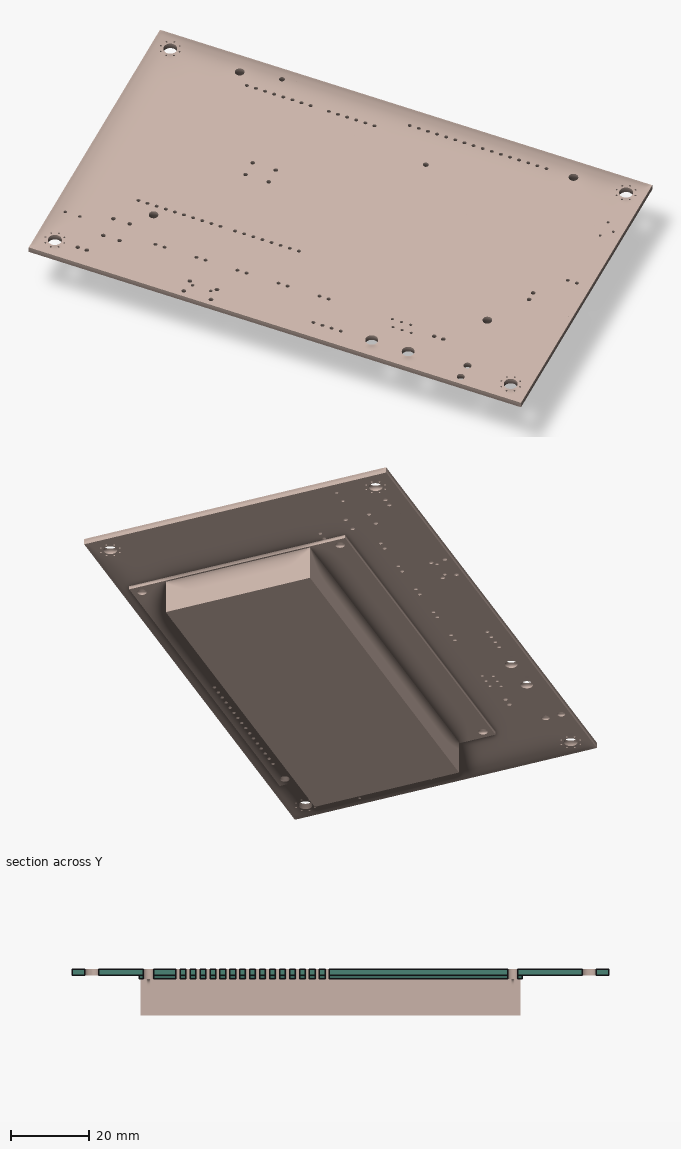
import cadquery as cq
import math

BOARD_LENGTH = 137.2
PITCHES_ALONG = 54
PITCHES_ACROSS = 33
PITCH = BOARD_LENGTH / PITCHES_ALONG
BOARD_WIDTH = PITCHES_ACROSS * PITCH
BOARD_THICKNESS = 1.6

MOUNT_DIAMETER = 3.5
MOUNT_INSET = 2
VIA_DIAMETER = 0.5
VIA_RING_RADIUS = 2.6
VIAS_PER_RING = 8

HEADER_PIN_DIAMETER = 1.01
THICK_PIN_DIAMETER = 1.2
CAPACITOR_PIN_DIAMETER = 0.9
TRIMMER_PIN_DIAMETER = 0.75
JACK_PIN_DIAMETER = 0.8
JACK_POST_DIAMETER = 3.3
SOCKET_PIN_DIAMETER = 0.9
LOCATING_DIAMETER = 1.5
POWER_PIN_DIAMETER = 2.0

BUTTON_LONG_SPACING = 6.5 / PITCH
BUTTON_SHORT_SPACING = 4.5 / PITCH
JACK_CENTER_X = (37.5 + 40) / 2
JACK_POST_SPACING = 4
SOCKET_CENTER_X = 46.2 / PITCH
SOCKET_CENTER_Y = 3.7 / PITCH
SOCKET_LEG_SPACING_X = 7.5 / PITCH
SOCKET_LEG_SPACING_Y = 1.5
SOCKET_PIN_SPACING = 2
SOCKET_PIN_Y = 4.5 / PITCH
PAIR_COUNT = 5
PAIR_STEP = 4.5

TOTAL_HEIGHT = 12.0
DISPLAY_CENTER_X = 28 * PITCH
DISPLAY_CENTER_Y = 20 * PITCH
PLATE_LENGTH = 98.0
PLATE_WIDTH = 60.0
PLATE_THICKNESS = 1.0
BEZEL_LENGTH = 97.0
BEZEL_WIDTH = 40.0
BEZEL_HEIGHT = TOTAL_HEIGHT - BOARD_THICKNESS - PLATE_THICKNESS

DISPLAY_MOUNT_DIAMETER = 2.5
DISPLAY_MOUNT_SPACING_X = 93.0
DISPLAY_MOUNT_SPACING_Y = 55.0
DISPLAY_PIN_DIAMETER = 1.0
DISPLAY_PIN_COUNT = 16
DISPLAY_PIN_RIGHT = 39.0
DISPLAY_PIN_Y = 27.6


def row(count, start_x, y):
    """Points of a row of holes one pitch apart; all three arguments count pitches or holes."""
    return [(start_x + i, y) for i in range(count)]


def rectangle(center_x, center_y, spacing_x, spacing_y):
    """Corner points of a rectangle around a center."""
    return [
        (center_x + side_x * spacing_x / 2, center_y + side_y * spacing_y / 2)
        for side_x in (-1, 1)
        for side_y in (-1, 1)
    ]


def in_units(points):
    """Turns points counted in pitches into lengths."""
    return [(x * PITCH, y * PITCH) for x, y in points]


def ring(center, radius, count):
    """Evenly spaced points on a circle."""
    angles = [2 * math.pi * i / count for i in range(count)]
    return [(center[0] + radius * math.cos(a), center[1] + radius * math.sin(a)) for a in angles]


def drill(body, points, diameter):
    """Cuts round holes along Z right through a flat body."""
    drills = (
        cq.Workplane("XY", origin=(0, 0, -TOTAL_HEIGHT))
        .pushPoints(points)
        .circle(diameter / 2)
        .extrude(2 * TOTAL_HEIGHT)
    )
    return body.cut(drills)


def drill_display_holes(body):
    """Cuts the display's mounting holes and pin row through the board or the plate."""
    mounts = rectangle(
        DISPLAY_CENTER_X, DISPLAY_CENTER_Y, DISPLAY_MOUNT_SPACING_X, DISPLAY_MOUNT_SPACING_Y
    )
    right_pin_x = DISPLAY_CENTER_X + DISPLAY_PIN_RIGHT
    pin_y = DISPLAY_CENTER_Y + DISPLAY_PIN_Y
    pins = [(right_pin_x - i * PITCH, pin_y) for i in range(DISPLAY_PIN_COUNT)]
    body = drill(body, mounts, DISPLAY_MOUNT_DIAMETER)
    return drill(body, pins, DISPLAY_PIN_DIAMETER)


def drill_corner_mounts(body):
    """Cuts the four corner mounting holes and the ring of vias around each."""
    mounts = in_units(
        rectangle(
            PITCHES_ALONG / 2,
            PITCHES_ACROSS / 2,
            PITCHES_ALONG - 2 * MOUNT_INSET,
            PITCHES_ACROSS - 2 * MOUNT_INSET,
        )
    )
    body = drill(body, mounts, MOUNT_DIAMETER)
    for mount in mounts:
        body = drill(body, ring(mount, VIA_RING_RADIUS, VIAS_PER_RING), VIA_DIAMETER)
    return body


def component_holes():
    """Hole groups of the board's components: points in pitches, and a diameter."""
    controller = row(8, 11.1, 29.4) + row(6, 20.1, 29.4) + row(10, 7.5, 10.4) + row(8, 18.1, 10.4)
    pairs = [point for i in range(PAIR_COUNT) for point in row(2, 11.5 + i * PAIR_STEP, 5.5)]
    headers = row(4, 30.4, 1.9) + row(2, 51.5, 17.5)
    terminals = row(2, 4.5, 2) + row(2, 42.3, 5) + [(49, 13.5), (49, 14.5)]
    upright_button = rectangle(7.1, 5.8, BUTTON_SHORT_SPACING, BUTTON_LONG_SPACING)
    flat_button = rectangle(17.2, 18.9, BUTTON_LONG_SPACING, BUTTON_SHORT_SPACING)
    capacitor = [(1.4, 6), (3, 6)]
    trimmer = [(52, 24.5), (53, 25.5), (52, 26.5)]
    jack_pins = row(3, 37.5, 5.5) + row(3, 38, 4.5)
    jack_posts = [(JACK_CENTER_X + side * JACK_POST_SPACING / 2, 2) for side in (-1, 1)]
    socket_legs = rectangle(
        SOCKET_CENTER_X, SOCKET_CENTER_Y, SOCKET_LEG_SPACING_X, SOCKET_LEG_SPACING_Y
    )
    socket_pins = [(SOCKET_CENTER_X + side * SOCKET_PIN_SPACING / 2, SOCKET_PIN_Y) for side in (-1, 1)]
    locating = [(14, 31.6), (32, 26.5)]
    power = [(47, 0.9), (47, 2.6)]
    return [
        (controller + pairs + headers, HEADER_PIN_DIAMETER),
        (terminals + upright_button + flat_button + socket_legs, THICK_PIN_DIAMETER),
        (capacitor, CAPACITOR_PIN_DIAMETER),
        (trimmer, TRIMMER_PIN_DIAMETER),
        (jack_pins, JACK_PIN_DIAMETER),
        (jack_posts, JACK_POST_DIAMETER),
        (socket_pins, SOCKET_PIN_DIAMETER),
        (locating, LOCATING_DIAMETER),
        (power, POWER_PIN_DIAMETER),
    ]


def make_board():
    body = cq.Workplane("XY").box(BOARD_LENGTH, BOARD_WIDTH, BOARD_THICKNESS, centered=False)
    body = drill_corner_mounts(body)
    for points, diameter in component_holes():
        body = drill(body, in_units(points), diameter)
    return drill_display_holes(body)


def make_display():
    plate = (
        cq.Workplane("XY")
        .center(DISPLAY_CENTER_X, DISPLAY_CENTER_Y)
        .rect(PLATE_LENGTH, PLATE_WIDTH)
        .extrude(-PLATE_THICKNESS)
    )
    plate = drill_display_holes(plate)
    bezel = (
        cq.Workplane("XY", origin=(0, 0, -PLATE_THICKNESS))
        .center(DISPLAY_CENTER_X, DISPLAY_CENTER_Y)
        .rect(BEZEL_LENGTH, BEZEL_WIDTH)
        .extrude(-BEZEL_HEIGHT)
    )
    return plate.union(bezel)


board = make_board()
display = make_display()
result = cq.Compound.makeCompound([board.val(), display.val()])